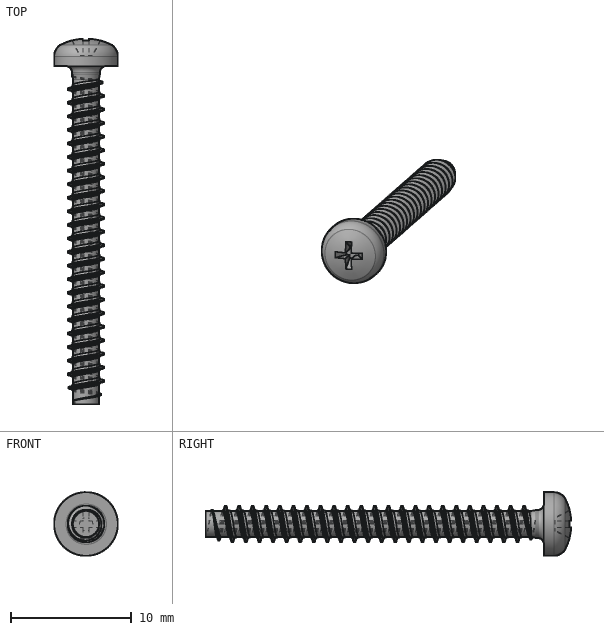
import cadquery as cq
import math


head_radius = 2.65
head_height = 2.29
rim_height = 0.82
dome_edge_radius = 2.16
dome_edge_height = 1.75
corner_mid_radius = 2.48
corner_mid_height = 1.40

recess_radius = 1.25
recess_bottom_radius = 0.55
recess_depth = 1.4
wing_width = 0.5

shank_length = 28.0
core_radius = 1.08
neck_radius = 1.17
neck_fillet = 0.5
neck_end = 0.65
neck_taper_end = 1.1

pitch = 1.124
thread_radius = 1.52
root_radius = 0.95
foot_radius = 1.11
knee_radius = 1.19
head_foot_width = 0.36
tip_foot_width = 0.25
knee_half_width = 0.13
crest_half_width = 0.04
thread_start = 0.5
thread_end = 27.9
head_runout_turns = 1.0
tip_runout_turns = 1.3
runout_share = 0.2
samples_per_turn = 12


def make_body():
    """Head, neck and core turned as one profile about the Y axis."""
    dome_radius = (dome_edge_radius**2 + (head_height - dome_edge_height) ** 2) / (
        2 * (head_height - dome_edge_height)
    )
    dome_mid_radius = dome_edge_radius / 2
    dome_mid_height = head_height - dome_radius + math.sqrt(dome_radius**2 - dome_mid_radius**2)
    return (
        cq.Workplane("XY")
        .moveTo(0, -shank_length)
        .lineTo(core_radius, -shank_length)
        .lineTo(core_radius, -neck_taper_end)
        .lineTo(neck_radius, -neck_end)
        .lineTo(neck_radius, -neck_fillet)
        .radiusArc((neck_radius + neck_fillet, 0), neck_fillet)
        .lineTo(head_radius, 0)
        .lineTo(head_radius, rim_height)
        .threePointArc((corner_mid_radius, corner_mid_height), (dome_edge_radius, dome_edge_height))
        .threePointArc((dome_mid_radius, dome_mid_height), (0, head_height))
        .close()
        .revolve(360, (0, 0), (0, 1))
    )


def make_recess():
    """Cross with wings along X and Z, narrowing toward its bottom."""
    cone = cq.Workplane(
        cq.Solid.makeCone(
            recess_radius,
            recess_bottom_radius,
            recess_depth,
            pnt=cq.Vector(0, head_height, 0),
            dir=cq.Vector(0, -1, 0),
        )
    )
    span = 2 * recess_radius
    wing_height = 2 * head_height
    wings = cq.Workplane().box(span, wing_height, wing_width)
    wings = wings.union(cq.Workplane().box(wing_width, wing_height, span))
    return cone.intersect(wings)


def make_thread():
    """Helical ridge that starts facing +Z and shrinks into the core at both ends."""
    turns = (thread_end - thread_start) / pitch
    sample_count = round(turns * samples_per_turn)

    def height_share(turn):
        ramp = min(1.0, turn / head_runout_turns, (turns - turn) / tip_runout_turns)
        return runout_share + (1 - runout_share) * ramp

    def helix(full_radius, axial_offset):
        points = []
        for i in range(sample_count + 1):
            turn = turns * i / sample_count
            angle = 2 * math.pi * turn
            radius = root_radius + (full_radius - root_radius) * height_share(turn)
            y = -thread_start - pitch * turn + axial_offset * height_share(turn)
            points.append(cq.Vector(-radius * math.sin(angle), y, radius * math.cos(angle)))
        return cq.Edge.makeSpline(points)

    profile = [
        (root_radius, head_foot_width),
        (foot_radius, head_foot_width),
        (knee_radius, knee_half_width),
        (thread_radius, crest_half_width),
        (thread_radius, -crest_half_width),
        (knee_radius, -knee_half_width),
        (foot_radius, -tip_foot_width),
        (root_radius, -tip_foot_width),
    ]
    edges = [helix(radius, offset) for radius, offset in profile]
    faces = [cq.Face.makeRuledSurface(a, b) for a, b in zip(edges, edges[1:] + edges[:1])]
    for end in (0, 1):
        corners = [edge.positionAt(end) for edge in edges]
        faces.append(cq.Face.makeFromWires(cq.Wire.makePolygon(corners, close=True)))
    thread = cq.Solid.makeSolid(cq.Shell.makeShell(faces))
    return cq.Workplane(thread)


result = make_body().cut(make_recess()).union(make_thread()).solids()